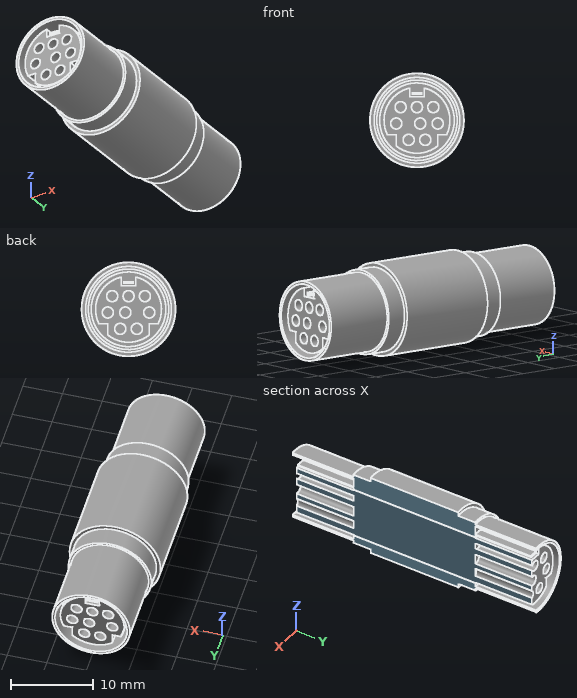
import cadquery as cq


length = 35.55
end_radius = 4.9
collar_radius = 5.23
grip_diameter = 11.5
grip_radius = grip_diameter / 2
collar_span = 17.78
grip_span = 12.8
bore_radius = 4.55
web_span = collar_span

insert_radius = 4.02
face_recess = 0.6
insert_length = length - 2 * face_recess
top_key_width = 1.8
top_key_floor = 2.85
side_key_inner = 2.52
side_key_roof = -1.78

tongue_width = 1.17
tongue_thickness = 0.2
tongue_height = 3.27
tongue_recess = 0.8
tongue_length = length / 2 - tongue_recess - web_span / 2

contact_radius = 0.68
contact_depth = (insert_length - web_span) / 2
upper_pitch = 2.0
lower_pitch = 2.03
middle_offset = 2.52
center_offset = 0.4
upper_row = 1.6
middle_row = -0.4
lower_row = -2.4
contacts = [
    (-upper_pitch, upper_row),
    (0, upper_row),
    (upper_pitch, upper_row),
    (-middle_offset, middle_row),
    (center_offset, middle_row),
    (middle_offset, middle_row),
    (-lower_pitch / 2, lower_row),
    (lower_pitch / 2, lower_row),
]


def centered_cylinder(radius, span):
    """Round bar along Y, centered on the origin."""
    return cq.Workplane("XZ", origin=(0, span / 2, 0)).circle(radius).extrude(span)


def keyed_bar(span):
    """Insert outline as a bar along Y: a round bar with one top and two lower keyways."""
    bar = centered_cylinder(insert_radius, span)
    top_key = (
        cq.Workplane("XY")
        .box(top_key_width, span, insert_radius, centered=(True, True, False))
        .translate((0, 0, top_key_floor))
    )
    bar = bar.cut(top_key)
    for side in (-1, 1):
        side_key = (
            cq.Workplane("XY")
            .box(insert_radius, span, insert_radius)
            .translate((side * (side_key_inner + insert_radius / 2), 0, side_key_roof - insert_radius / 2))
        )
        bar = bar.cut(side_key)
    return bar


def make_housing():
    """Stepped sleeve with two end bores, a keyed opening in its web and two tongues."""
    body = (
        centered_cylinder(end_radius, length)
        .union(centered_cylinder(collar_radius, collar_span))
        .union(centered_cylinder(grip_radius, grip_span))
    )
    bores = centered_cylinder(bore_radius, length).cut(centered_cylinder(bore_radius, web_span))
    body = body.cut(bores).cut(keyed_bar(web_span))
    for end in (-1, 1):
        tongue = (
            cq.Workplane("XY")
            .box(tongue_width, tongue_length, tongue_thickness)
            .translate((0, end * (web_span + tongue_length) / 2, tongue_height))
        )
        body = body.union(tongue)
    return body


def make_insert():
    """Keyed bar with the same contact pattern sunk into each face."""
    body = keyed_bar(insert_length)
    holes = (
        cq.Workplane("XZ", origin=(0, contact_depth - insert_length / 2, 0))
        .pushPoints(contacts)
        .circle(contact_radius)
        .extrude(contact_depth)
    )
    return body.cut(holes).cut(holes.mirror("XZ"))


housing = make_housing()
insert = make_insert()

result = cq.Compound.makeCompound([housing.val(), insert.val()])